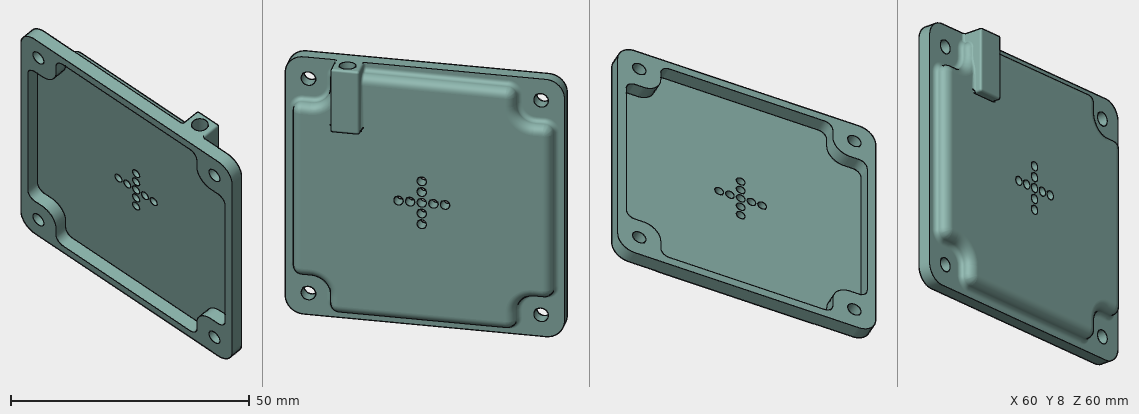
import cadquery as cq

PLATE_SIZE = 60.0
PLATE_THICKNESS = 3.0
PLATE_CORNER_RADIUS = 4.0

RIM_WIDTH = 2.0
NOTCH_SIZE = 8.0
NOTCH_RADIUS = 4.0
OUTLINE_CORNER_RADIUS = 2.0
RECESS_DEPTH = 3.0

BACK_HEIGHT = 3.0
BACK_ROOT_FILLET = 1.0
BACK_TOP_FILLET = BACK_HEIGHT - BACK_ROOT_FILLET - 0.01

CORNER_HOLE_DIAMETER = 3.1
CORNER_HOLE_INSET = 5.0
VENT_DIAMETER = 2.0
VENT_PITCH = 2.5
VENTS_PER_ARM = 2

BOSS_WIDTH = 6.2
BOSS_LENGTH = 14.6
BOSS_TOP_Y = 8.0
BOSS_LOW_X = 13.0
BOSS_FILLET = 0.5
BOSS_BORE_DIAMETER = 3.5
BOSS_BORE_DEPTH = 12.0
BOSS_BORE_Y = 5.25

HALF_PLATE = PLATE_SIZE / 2
BACK_TOP_Y = PLATE_THICKNESS + BACK_HEIGHT
BOSS_LOW_Z = HALF_PLATE - BOSS_LENGTH
TOLERANCE = 0.01


def workplane_at(y):
    """XZ workplane at the given Y; its local axes follow X and Z, and its normal is -Y."""
    return cq.Workplane("XZ", origin=(0, y, 0))


def extrude_back(sketch, depth):
    """Extrude a sketch on an XZ plane towards +Y."""
    return sketch.extrude(-depth)


def crossed_bar(size_x, size_z, start_y, depth):
    """Bar with rounded corners, one of the two that make up the notched square."""
    bar = extrude_back(workplane_at(start_y).rect(size_x, size_z), depth)
    return bar.edges("|Y").fillet(OUTLINE_CORNER_RADIUS)


def notched_prism(start_y, depth):
    """Square with a rounded notch at each corner, extruded towards +Y."""
    long_side = PLATE_SIZE - 2 * RIM_WIDTH
    short_side = long_side - 2 * NOTCH_SIZE
    prism = crossed_bar(long_side, short_side, start_y, depth)
    prism = prism.union(crossed_bar(short_side, long_side, start_y, depth))
    reach = short_side / 2 + TOLERANCE
    notch_edges = cq.selectors.BoxSelector((-reach, start_y, -reach), (reach, start_y + depth, reach))
    return prism.edges("|Y").edges(notch_edges).fillet(NOTCH_RADIUS)


def make_plate():
    """Square plate with rounded corners."""
    plate = extrude_back(workplane_at(0).rect(PLATE_SIZE, PLATE_SIZE), PLATE_THICKNESS)
    return plate.edges("|Y").fillet(PLATE_CORNER_RADIUS)


def cut_recess(body):
    """Recess in the front face, directly in front of the raised back."""
    return body.cut(notched_prism(0, RECESS_DEPTH))


def add_raised_back(body):
    """Raised back with a rounded top edge and a concave fillet at its root."""
    raised = notched_prism(PLATE_THICKNESS, BACK_HEIGHT)
    raised = raised.faces(">Y").edges().fillet(BACK_TOP_FILLET)
    body = body.union(raised)
    reach = HALF_PLATE - RIM_WIDTH + TOLERANCE
    root = cq.selectors.BoxSelector(
        (-reach, PLATE_THICKNESS - TOLERANCE, -reach),
        (reach, PLATE_THICKNESS + TOLERANCE, reach),
        boundingbox=True,
    )
    return body.edges(root).fillet(BACK_ROOT_FILLET)


def box_between(low_corner, high_corner):
    """Axis-aligned box spanned by two opposite corners."""
    size = [high - low for low, high in zip(low_corner, high_corner)]
    return cq.Workplane("XY").box(*size, centered=False).translate(low_corner)


def add_boss(body):
    """Square boss, blended into the back along both sides and rounded on its free edges."""
    low_x = BOSS_LOW_X
    high_x = BOSS_LOW_X + BOSS_WIDTH
    boss = box_between((low_x, RECESS_DEPTH, BOSS_LOW_Z), (high_x, BOSS_TOP_Y, HALF_PLATE))
    boss = boss.faces(">Z").edges("|Y").fillet(BOSS_FILLET)
    body = body.union(boss)
    for side_x in (low_x, high_x):
        side_root = cq.selectors.BoxSelector(
            (side_x - TOLERANCE, PLATE_THICKNESS - TOLERANCE, BOSS_LOW_Z - TOLERANCE),
            (side_x + TOLERANCE, BACK_TOP_Y + TOLERANCE, HALF_PLATE + TOLERANCE),
            boundingbox=True,
        )
        body = body.edges(side_root).fillet(BOSS_FILLET)
    free = cq.selectors.BoxSelector(
        (low_x - TOLERANCE, BACK_TOP_Y + BOSS_FILLET + TOLERANCE, BOSS_LOW_Z - TOLERANCE),
        (high_x + TOLERANCE, BOSS_TOP_Y + TOLERANCE, HALF_PLATE + TOLERANCE),
    )
    return body.edges(free).fillet(BOSS_FILLET)


def cut_boss_bore(body):
    """Blind bore running down the boss from the upper edge of the plate."""
    bore = cq.Workplane("XY", origin=(BOSS_LOW_X + BOSS_WIDTH / 2, BOSS_BORE_Y, HALF_PLATE))
    return body.cut(bore.circle(BOSS_BORE_DIAMETER / 2).extrude(-BOSS_BORE_DEPTH))


def cut_corner_holes(body):
    """One through hole near each corner of the plate."""
    spacing = PLATE_SIZE - 2 * CORNER_HOLE_INSET
    centers = workplane_at(0).rect(spacing, spacing, forConstruction=True).vertices()
    return body.cut(extrude_back(centers.circle(CORNER_HOLE_DIAMETER / 2), PLATE_THICKNESS))


def cut_vents(body):
    """Plus-shaped pattern of small through holes in the middle of the plate."""
    offsets = [step * VENT_PITCH for step in range(-VENTS_PER_ARM, VENTS_PER_ARM + 1)]
    centers = [(offset, 0) for offset in offsets]
    centers += [(0, offset) for offset in offsets if offset != 0]
    vents = workplane_at(0).pushPoints(centers).circle(VENT_DIAMETER / 2)
    return body.cut(extrude_back(vents, BACK_TOP_Y))


result = make_plate()
result = add_raised_back(result)
result = add_boss(result)
result = cut_recess(result)
result = cut_boss_bore(result)
result = cut_corner_holes(result)
result = cut_vents(result)